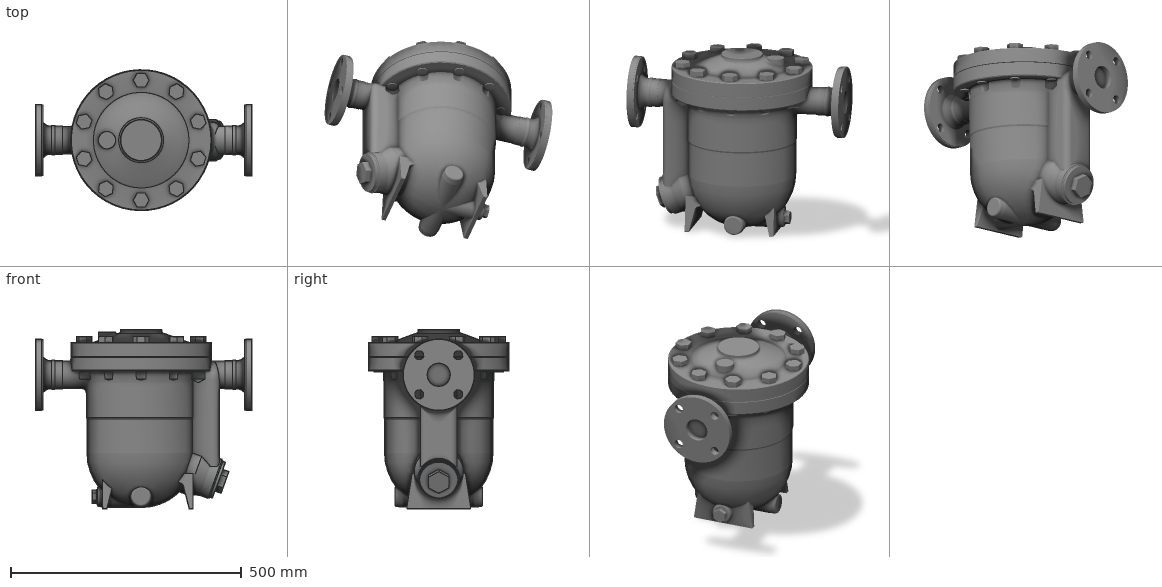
import cadquery as cq
import math


flange_radius = 305.0 / 2
joint_z = 328.5
joint_gap = 1.5
spigot_radius = 112.5
flange_underside_z = 298.5
flange_edge_fillet = 2.5

cover_top_z = 361.0
cover_edge_chamfer = 1.5
dome_blend_radius = 103.5
dome_radius = 95.0
dome_foot_z = 363.5
dome_mid_radius = 66.0
dome_mid_z = 374.5
hub_blend_radius = 48.5
hub_blend_z = 380.5
hub_radius = 90.0 / 2
hub_blend_top_z = 383.8
hub_top_z = 389.0
hub_chamfer = 1.0
vent_offset = -74.0
vent_radius = 18.5
vent_top_z = 383.0
vent_blend = 3.0

bolt_count = 10
bolt_circle_radius = 259.7 / 2
bolt_head_corners = 34.5
bolt_head_height = 12.5
bolt_end_diameter = 21.0
bolt_end_length = 2.5
spot_face_radius = 15.0
spot_face_floor_z = 281.7
spot_face_tip_depth = 8.5

neck_radius = 120.7
upper_radius = 119.0
lower_radius = 235.0 / 2
neck_end_z = 274.0
step_z = 198.5
step_end_z = 195.0
bowl_z = 120.7
flank_top_z = 318.0
flank_draft = 3.5

pipe_z = 290.5
pipe_radius = 60.0 / 2
pipe_blend = 9.5
inlet_face_x = -228.5
outlet_face_x = 239.5
pipe_flange_radius = 155.0 / 2
pipe_flange_thickness = 13.0
flange_back_radius = 76.5
flange_back_thickness = 3.0
weld_neck_root_radius = 38.0
weld_neck_taper_start = 18.5
weld_neck_taper_radius = 36.0
weld_neck_mid_radius = 32.8
weld_neck_radius = 62.0 / 2
weld_neck_mid = 23.0
weld_neck_taper_end = 28.5
weld_bead_start = 34.0
weld_bead_end = 42.0
weld_bead_height = 1.5
weld_neck_end = 58.5
bore_diameter = 50.0
bore_depth = 16.0
stud_hole_diameter = 19.0
stud_hole_pitch = 84.5

riser_end_x = 169.5
riser_half_width = 39.5
riser_bottom_z = 92.0
riser_corner = 13.5

seat_tilt = 20.0
seat_axis_z = 123.5
seat_root_radius = 106.2 / 2
seat_radius = 90.0 / 2
seat_taper_start = 126.5
seat_taper_end = 151.0
seat_end = 170.5
gasket_radius = 85.0 / 2
gasket_end = 173.0
plug_radius = 83.0 / 2
plug_end = 179.2
plug_hex_corners = 50.0
plug_hex_height = 14.0

drain_z = 26.5
drain_radius = 23.0
drain_taper_start = 80.0
drain_lip_radius = 21.0
drain_lip_start = 91.5
drain_face_radius = 17.0
drain_reach = 95.0
drain_washer_radius = 16.0
drain_washer_height = 1.5
drain_hex_corners = 30.0
drain_hex_height = 10.0

left_foot_x = -83.5
right_foot_x = 113.0
foot_thickness = 9.0
foot_inner_draft = 0.25
foot_height = 76.8
foot_half_length = 69.3
foot_side_draft = 0.15
foot_edge_chamfer = 1.5
foot_flare_z = 45.5
foot_flare = 11.5


def bolt_positions():
    step = 2 * math.pi / bolt_count
    for i in range(bolt_count):
        angle = math.pi / 2 + i * step
        yield (
            bolt_circle_radius * math.cos(angle),
            bolt_circle_radius * math.sin(angle),
            math.degrees(angle),
        )


def upright_cylinder(x, y, bottom_z, top_z, radius):
    return cq.Workplane("XY", origin=(x, y, bottom_z)).circle(radius).extrude(top_z - bottom_z)


def cover_shell():
    underside_z = joint_z + joint_gap
    blend_angle = math.radians(45)
    blend_mid = (
        hub_blend_radius - (hub_blend_radius - hub_radius) * math.sin(blend_angle),
        hub_blend_top_z - (hub_blend_top_z - hub_blend_z) * math.cos(blend_angle),
    )
    profile = (
        cq.Workplane("XZ")
        .moveTo(0, joint_z)
        .lineTo(spigot_radius, joint_z)
        .lineTo(spigot_radius, underside_z)
        .lineTo(flange_radius, underside_z)
        .lineTo(flange_radius, cover_top_z - cover_edge_chamfer)
        .lineTo(flange_radius - cover_edge_chamfer, cover_top_z)
        .lineTo(dome_blend_radius, cover_top_z)
        .lineTo(dome_radius, dome_foot_z)
        .threePointArc((dome_mid_radius, dome_mid_z), (hub_blend_radius, hub_blend_z))
        .threePointArc(blend_mid, (hub_radius, hub_blend_top_z))
        .lineTo(hub_radius, hub_top_z - hub_chamfer)
        .lineTo(hub_radius - hub_chamfer, hub_top_z)
        .lineTo(0, hub_top_z)
        .close()
    )
    return profile.revolve(360, (0, 0, 0), (0, 1, 0))


def cover_with_vent():
    vent = upright_cylinder(vent_offset, 0, cover_top_z, vent_top_z, vent_radius)
    seam = cq.selectors.BoxSelector(
        (vent_offset - vent_radius - vent_blend, -dome_radius, cover_top_z),
        (vent_offset + vent_radius + vent_blend, dome_radius, vent_top_z - vent_blend),
        boundingbox=True,
    )
    return cover_shell().union(vent).edges(seam).fillet(vent_blend)


def bolt_head(x, y, angle):
    return (
        cq.Workplane("XY")
        .polygon(6, bolt_head_corners)
        .extrude(bolt_head_height)
        .rotate((0, 0, 0), (0, 0, 1), angle + 90)
        .translate((x, y, cover_top_z))
    )


def make_cover():
    cover = cover_with_vent()
    for x, y, angle in bolt_positions():
        cover = cover.union(bolt_head(x, y, angle))
    return cover


def vessel_wall():
    bowl_mid = (
        lower_radius * math.cos(math.pi / 4),
        bowl_z - lower_radius * math.sin(math.pi / 4),
    )
    return (
        cq.Workplane("XZ")
        .moveTo(0, bowl_z - lower_radius)
        .threePointArc(bowl_mid, (lower_radius, bowl_z))
        .lineTo(lower_radius, step_end_z)
        .lineTo(upper_radius, step_z)
        .lineTo(upper_radius, neck_end_z)
        .lineTo(neck_radius, flange_underside_z)
        .lineTo(neck_radius, joint_z)
        .lineTo(0, joint_z)
        .close()
        .revolve(360, (0, 0, 0), (0, 1, 0))
    )


def pipe(end_x):
    direction = math.copysign(1, end_x)
    return (
        cq.Workplane("YZ", origin=(0, 0, pipe_z))
        .circle(pipe_radius)
        .extrude(direction * (abs(end_x) - weld_neck_end))
    )


def wall_with_inlet():
    """Vessel wall and inlet pipe with a rounded corner between them."""
    seam = cq.selectors.BoxSelector(
        (-neck_radius - pipe_blend, -pipe_radius - pipe_blend, pipe_z - pipe_radius - pipe_blend),
        (-lower_radius + pipe_blend, pipe_radius + pipe_blend, joint_z),
        boundingbox=True,
    )
    return vessel_wall().union(pipe(inlet_face_x)).edges(seam).fillet(pipe_blend)


def main_flange():
    flange = upright_cylinder(0, 0, flange_underside_z, joint_z, flange_radius)
    flange = flange.faces("<Z").edges().fillet(flange_edge_fillet)
    for side in (-1, 1):
        flank = (
            cq.Workplane("XZ")
            .moveTo(side * flange_radius, flank_top_z)
            .lineTo(side * (flange_radius - flank_draft), flange_underside_z)
            .lineTo(side * flange_radius, flange_underside_z)
            .close()
            .extrude(flange_radius, both=True)
        )
        flange = flange.cut(flank)
    return flange


def spot_face(x, y):
    tip_z = spot_face_floor_z - spot_face_tip_depth
    return (
        cq.Workplane("XZ")
        .moveTo(0, tip_z)
        .lineTo(spot_face_radius, spot_face_floor_z)
        .lineTo(spot_face_radius, flange_underside_z)
        .lineTo(0, flange_underside_z)
        .close()
        .revolve(360, (0, 0, 0), (0, 1, 0))
        .translate((x, y, 0))
    )


def bolt_end(x, y):
    return upright_cylinder(
        x, y, flange_underside_z - bolt_end_length, joint_z, bolt_end_diameter / 2
    )


def weld_neck_flange(face_x):
    """Pipe flange with its weld neck, its face at face_x and its neck towards the vessel."""
    back = pipe_flange_thickness + flange_back_thickness
    bead_mid = (weld_bead_start + weld_bead_end) / 2
    fitting = (
        cq.Workplane("XY")
        .lineTo(0, pipe_flange_radius)
        .lineTo(pipe_flange_thickness, pipe_flange_radius)
        .lineTo(pipe_flange_thickness, flange_back_radius)
        .lineTo(back, flange_back_radius)
        .lineTo(back, weld_neck_root_radius)
        .lineTo(weld_neck_taper_start, weld_neck_taper_radius)
        .threePointArc(
            (weld_neck_mid, weld_neck_mid_radius), (weld_neck_taper_end, weld_neck_radius)
        )
        .lineTo(weld_bead_start, weld_neck_radius)
        .threePointArc(
            (bead_mid, weld_neck_radius + weld_bead_height), (weld_bead_end, weld_neck_radius)
        )
        .lineTo(weld_neck_end, weld_neck_radius)
        .lineTo(weld_neck_end, 0)
        .close()
        .revolve(360, (0, 0, 0), (1, 0, 0))
    )
    bore = cq.Workplane("YZ").circle(bore_diameter / 2).extrude(bore_depth)
    stud_holes = (
        cq.Workplane("YZ")
        .rect(stud_hole_pitch, stud_hole_pitch, forConstruction=True)
        .vertices()
        .circle(stud_hole_diameter / 2)
        .extrude(back)
    )
    fitting = fitting.cut(bore).cut(stud_holes)
    if face_x > 0:
        fitting = fitting.mirror("YZ")
    return fitting.translate((face_x, 0, pipe_z))


def outlet_riser():
    arch_z = pipe_z + pipe_radius - riser_half_width
    return (
        cq.Workplane("YZ")
        .moveTo(-riser_half_width, riser_bottom_z)
        .lineTo(riser_half_width, riser_bottom_z)
        .lineTo(riser_half_width, arch_z)
        .threePointArc((0, arch_z + riser_half_width), (-riser_half_width, arch_z))
        .close()
        .extrude(riser_end_x)
        .faces(">X")
        .edges("not(<Z)")
        .fillet(riser_corner)
    )


def seat_boss():
    """Inclined boss with its gasket and hexagon plug, built along Z and then tilted into place."""
    boss = (
        cq.Workplane("XZ")
        .lineTo(seat_root_radius, 0)
        .lineTo(seat_root_radius, seat_taper_start)
        .lineTo(seat_radius, seat_taper_end)
        .lineTo(seat_radius, seat_end)
        .lineTo(gasket_radius, seat_end)
        .lineTo(gasket_radius, gasket_end)
        .lineTo(plug_radius, gasket_end)
        .lineTo(plug_radius, plug_end)
        .lineTo(0, plug_end)
        .close()
        .revolve(360, (0, 0, 0), (0, 1, 0))
    )
    hexagon = (
        cq.Workplane("XY", origin=(0, 0, plug_end))
        .polygon(6, plug_hex_corners)
        .extrude(plug_hex_height)
    )
    return (
        boss.union(hexagon)
        .rotate((0, 0, 0), (0, 1, 0), 90 + seat_tilt)
        .translate((0, 0, seat_axis_z))
    )


def drain_boss(angle):
    """Round boss reaching out from the vessel axis at the given angle from +X."""
    lip_mid_turn = math.sqrt(0.5)
    lip_mid = (
        drain_lip_start + (drain_reach - drain_lip_start) * lip_mid_turn,
        drain_lip_radius - (drain_lip_radius - drain_face_radius) * (1 - lip_mid_turn),
    )
    return (
        cq.Workplane("XY")
        .lineTo(0, drain_radius)
        .lineTo(drain_taper_start, drain_radius)
        .lineTo(drain_lip_start, drain_lip_radius)
        .threePointArc(lip_mid, (drain_reach, drain_face_radius))
        .lineTo(drain_reach, 0)
        .close()
        .revolve(360, (0, 0, 0), (1, 0, 0))
        .rotate((0, 0, 0), (0, 0, 1), angle)
        .translate((0, 0, drain_z))
    )


def drain_plug():
    washer = (
        cq.Workplane("YZ", origin=(-drain_reach, 0, drain_z))
        .circle(drain_washer_radius)
        .extrude(-drain_washer_height)
    )
    hexagon = (
        cq.Workplane("YZ", origin=(-drain_reach - drain_washer_height, 0, drain_z))
        .transformed(rotate=(0, 0, 90))
        .polygon(6, drain_hex_corners)
        .extrude(-drain_hex_height)
    )
    return washer.union(hexagon)


def foot(outer_x):
    """Plate foot with an upright outer face and tapered sides, its inner face flaring at the top."""
    inward = -math.copysign(1, outer_x)
    waist_thickness = foot_thickness + foot_inner_draft * foot_flare_z
    top_thickness = waist_thickness + foot_flare
    flare_top_z = foot_flare_z + foot_flare
    flare_mid_x = outer_x + inward * (waist_thickness + foot_flare * (1 - math.sqrt(0.5)))
    flare_mid_z = foot_flare_z + foot_flare * math.sqrt(0.5)
    top_half_length = foot_half_length - foot_side_draft * foot_height
    plate = (
        cq.Workplane("XZ")
        .moveTo(outer_x, 0)
        .lineTo(outer_x + inward * foot_thickness, 0)
        .lineTo(outer_x + inward * waist_thickness, foot_flare_z)
        .threePointArc((flare_mid_x, flare_mid_z), (outer_x + inward * top_thickness, flare_top_z))
        .lineTo(outer_x + inward * top_thickness, foot_height)
        .lineTo(outer_x, foot_height)
        .close()
        .extrude(foot_half_length, both=True)
    )
    trapezoid = (
        cq.Workplane("YZ", origin=(outer_x, 0, 0))
        .moveTo(-foot_half_length + foot_edge_chamfer, 0)
        .lineTo(foot_half_length - foot_edge_chamfer, 0)
        .lineTo(foot_half_length, foot_edge_chamfer)
        .lineTo(top_half_length, foot_height)
        .lineTo(-top_half_length, foot_height)
        .lineTo(-foot_half_length, foot_edge_chamfer)
        .close()
        .extrude(inward * top_thickness)
    )
    return plate.intersect(trapezoid)


def make_housing():
    housing = wall_with_inlet().union(seat_boss())
    for foot_x in (left_foot_x, right_foot_x):
        housing = housing.union(foot(foot_x))
    housing = housing.union(outlet_riser()).union(pipe(outlet_face_x)).union(main_flange())
    for x, y, _ in bolt_positions():
        housing = housing.cut(spot_face(x, y)).union(bolt_end(x, y))
    for face_x in (inlet_face_x, outlet_face_x):
        housing = housing.union(weld_neck_flange(face_x))
    for angle in (-90, 90, 180):
        housing = housing.union(drain_boss(angle))
    return housing.union(drain_plug())


cover = make_cover()
housing = make_housing()
result = cq.Compound.makeCompound([housing.val(), cover.val()])